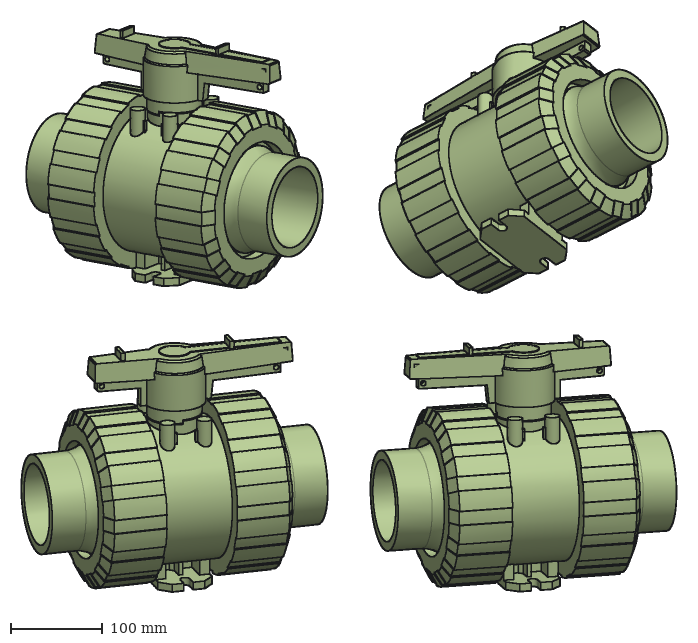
import cadquery as cq
import math


length = 316.0
pipe_radius = 55.0
pipe_bore = 45.0
flare_start = 119.8
flare_radius = 37.3
flare_end = 102.0
flange_front = 96.5
flange_back = 85.3

body_radius = 79.5
ball_bore = 39.5
neck_radius = 30.3
neck_top = 102.7
neck_bevel = 1.5
spindle_radius = 29.7
spindle_shoulder = 87.0
stop_shoulder = 90.7

post_radius = 8.2
post_x = 21.2
post_y = 40.0
post_top = 93.0
key_width = 3.5
key_reach = 10.5
key_top = 80.5
key_lean = 15.0

foot_bottom = -100.2
foot_top = -91.3
foot_x = 31.0
foot_y = 49.3
foot_chamfer = 12.3
foot_slot_radius = 5.5
foot_slot_y = foot_y - foot_chamfer
foot_root = -63.2
end_rib_inner = 19.3
end_rib_y = 29.0
web_width = 4.7
middle_rib_y = 22.0
boss_radius = 7.3

nut_radius = 98.3
nut_back = 40.5
nut_front = 108.5
nut_chamfer_start = 100.5
nut_face_radius = 83.7
nut_opening = 64.8
groove_count = 16
groove_depth = 2.0
groove_width = 15.8

hub_radius = 34.0
hub_shoulder = 145.7
hub_bevel = 1.5
dome_radius = 30.5
dome_bevel = 2.2
lever_top = 159.5
lever_bottom = 136.0
lever_end_bottom = 137.8
lever_left = -95.7
lever_right = 132.5
left_half_width = 14.2
hub_half_width = 20.5
right_half_width = 11.5
side_draft = 2.5
end_draft = 1.3
end_chamfer = 1.3
rib_thickness = 10.0
rib_top = 139.0
rib_left = -90.5
rib_right = 120.0
rib_end_bottom = 124.5
rib_root_bottom = 123.2
rib_corner = 1.5
lug_left = -40.5
lug_right = 42.7
lug_draft = 2.2
eyelet_radius = 3.0
eyelet_z = 130.5
eyelet_left = -85.0
eyelet_right = 115.0
badge_radius = 17.0
badge_strip_width = 15.8
badge_end = 120.0
badge_height = 1.0
tab_x = 62.5
tab_thickness = 4.5
tab_half_width = 11.0
tab_end_curve = 2.0
tab_top = 168.0
cheek_left = 113.8
cheek_right = 126.7
cheek_top = 154.0
cheek_half_width = 10.0


def box(x0, x1, y0, y1, z0, z1):
    return cq.Workplane("XY").box(x1 - x0, y1 - y0, z1 - z0, centered=False).translate((x0, y0, z0))


def disc(radius, z0, z1, x=0.0, y=0.0):
    return cq.Workplane("XY").workplane(offset=z0).center(x, y).circle(radius).extrude(z1 - z0)


def rod(radius, x0, x1):
    return cq.Workplane("YZ").workplane(offset=x0).circle(radius).extrude(x1 - x0)


def turn_about_x(points):
    """Revolve a closed outline of (x, radius) points about the flow axis."""
    return cq.Workplane("XY").polyline(points).close().revolve(360, (0, 0), (1, 0))


def turn_about_z(points):
    """Revolve a closed outline of (radius, z) points about the stem axis."""
    return cq.Workplane("XZ").polyline(points).close().revolve(360, (0, 0), (0, 1))


def on_both_ends(part):
    """The part and its copy at the opposite end of the valve."""
    return [part, part.mirror("YZ")]



def make_neck():
    """Stem neck, undercut above the body, with a raised undercut in the +X, -Y quarter."""
    neck = turn_about_z([
        (0, 0),
        (spindle_radius, 0),
        (spindle_radius, spindle_shoulder - neck_bevel),
        (neck_radius, spindle_shoulder),
        (neck_radius, neck_top),
        (0, neck_top),
    ])
    undercut = turn_about_z([
        (spindle_radius, spindle_shoulder - neck_bevel),
        (spindle_radius, stop_shoulder - neck_bevel),
        (neck_radius, stop_shoulder),
        (hub_radius, stop_shoulder),
        (hub_radius, spindle_shoulder - neck_bevel),
    ])
    quarter = box(0, hub_radius, -hub_radius, 0, 0, neck_top)
    return neck.cut(undercut.intersect(quarter))


def make_post(side_x, side_y):
    """Round post with two small keys: one towards X = 0, one towards the neck."""
    post = disc(post_radius, 0, post_top)
    key = box(0, key_reach, -key_width / 2, key_width / 2, 0, key_top)
    inward_key = key.rotate((0, 0, 0), (0, 0, 1), 180)
    neck_key = key.rotate((0, 0, 0), (0, 0, 1), -90 + key_lean)
    post = post.union(inward_key).union(neck_key)
    if side_x < 0:
        post = post.mirror("YZ")
    if side_y < 0:
        post = post.mirror("XZ")
    return post.translate((side_x * post_x, side_y * post_y, 0))


def make_foot():
    """Slotted mounting plate carried by ribs and a central boss."""
    plate = box(-foot_x, foot_x, -foot_y, foot_y, foot_bottom, foot_top)
    plate = plate.edges("|Z").chamfer(foot_chamfer)
    for side in (-1, 1):
        slot_end = disc(foot_slot_radius, foot_bottom, foot_top, 0, side * foot_slot_y)
        near, far = sorted((side * foot_slot_y, side * foot_y))
        slot = box(-foot_slot_radius, foot_slot_radius, near, far, foot_bottom, foot_top)
        plate = plate.cut(slot_end).cut(slot)
    end_rib = box(end_rib_inner, foot_x, -end_rib_y, end_rib_y, foot_top, foot_root)
    foot = plate
    for rib in on_both_ends(end_rib):
        foot = foot.union(rib)
    long_web = box(-foot_x, foot_x, -web_width / 2, web_width / 2, foot_top, foot_root)
    middle_rib = box(-web_width / 2, web_width / 2, -middle_rib_y, middle_rib_y, foot_top, foot_root)
    boss = disc(boss_radius, foot_top, foot_root)
    return foot.union(long_web).union(middle_rib).union(boss)


def make_body():
    body = rod(body_radius, -flange_back, flange_back)
    body = body.union(make_neck()).union(make_foot())
    for side_x in (-1, 1):
        for side_y in (-1, 1):
            body = body.union(make_post(side_x, side_y))
    return body.cut(rod(ball_bore, -flange_back, flange_back))



def make_connector():
    """Pipe end at +X that flares into the flange clamped by the nut."""
    flare_length = flare_start - flare_end
    centre_radius = pipe_radius + flare_radius
    flare_end_radius = centre_radius - math.sqrt(flare_radius**2 - flare_length**2)
    half_angle = math.asin(flare_length / flare_radius) / 2
    flare_middle = (
        flare_start - flare_radius * math.sin(half_angle),
        centre_radius - flare_radius * math.cos(half_angle),
    )
    return (
        cq.Workplane("XY")
        .moveTo(length / 2, pipe_bore)
        .lineTo(length / 2, pipe_radius)
        .lineTo(flare_start, pipe_radius)
        .threePointArc(flare_middle, (flare_end, flare_end_radius))
        .lineTo(flange_front, flare_end_radius)
        .lineTo(flange_front, body_radius)
        .lineTo(flange_back, body_radius)
        .lineTo(flange_back, pipe_bore)
        .close()
        .revolve(360, (0, 0), (1, 0))
    )



def make_nut_ring(inset):
    """Nut at +X without grooves, its outside set in by the given depth."""
    return turn_about_x([
        (nut_back, body_radius),
        (nut_back, nut_radius - inset),
        (nut_chamfer_start, nut_radius - inset),
        (nut_front, nut_face_radius - inset),
        (nut_front, nut_opening),
        (flange_front, nut_opening),
        (flange_front, body_radius),
    ])


def make_nut():
    """Nut at +X with shallow grip grooves that run out along the front chamfer."""
    crown = make_nut_ring(0)
    half_width = groove_width / 2
    slot = box(nut_back, nut_front, -half_width, half_width, body_radius, nut_radius + groove_depth)
    for index in range(groove_count):
        crown = crown.cut(slot.rotate((0, 0, 0), (1, 0, 0), index * 360 / groove_count))
    return crown.union(make_nut_ring(groove_depth))



def make_hub():
    return turn_about_z([
        (0, neck_top),
        (hub_radius, neck_top),
        (hub_radius, hub_shoulder - hub_bevel),
        (hub_radius - hub_bevel, hub_shoulder),
        (dome_radius, lever_top - dome_bevel),
        (dome_radius - dome_bevel, lever_top),
        (0, lever_top),
    ])


def lever_outline(inset_x, inset_y):
    left = lever_left + inset_x
    right = lever_right - inset_x
    return [
        (left, inset_y - left_half_width),
        (0, inset_y - hub_half_width),
        (right, inset_y - right_half_width),
        (right, right_half_width - inset_y),
        (0, hub_half_width - inset_y),
        (left, left_half_width - inset_y),
    ]


def make_lever():
    """Tapered two-armed bar, narrower at the top."""
    lever = (
        cq.Workplane("XY")
        .workplane(offset=lever_bottom)
        .polyline(lever_outline(0, 0))
        .close()
        .workplane(offset=lever_top - lever_bottom)
        .polyline(lever_outline(end_draft, side_draft))
        .close()
        .loft(ruled=True)
    )
    lever = lever.faces(">Z").edges("|Y").chamfer(end_chamfer)
    side_profile = (
        cq.Workplane("XZ")
        .polyline([
            (lever_left, lever_top),
            (lever_left, lever_end_bottom + end_chamfer),
            (lever_left + end_chamfer, lever_end_bottom),
            (0, lever_bottom),
            (lever_right - end_chamfer, lever_end_bottom),
            (lever_right, lever_end_bottom + end_chamfer),
            (lever_right, lever_top),
        ])
        .close()
        .extrude(hub_half_width, both=True)
    )
    lever = lever.intersect(side_profile)
    cheek = box(cheek_left, cheek_right, -cheek_half_width, cheek_half_width, lever_end_bottom, cheek_top)
    return lever.union(cheek)


def make_under_rib():
    """Thin rib below the lever, deeper next to the hub, with an eyelet at each end."""
    rib = (
        cq.Workplane("XZ")
        .polyline([
            (rib_left, rib_top),
            (rib_left, rib_end_bottom + rib_corner),
            (rib_left + rib_corner, rib_end_bottom),
            (lug_left, rib_root_bottom),
            (lug_left, neck_top),
            (lug_right - lug_draft, neck_top),
            (lug_right, rib_root_bottom),
            (rib_right, rib_end_bottom),
            (rib_right, rib_top),
        ])
        .close()
        .extrude(rib_thickness / 2, both=True)
    )
    eyelets = (
        cq.Workplane("XZ")
        .pushPoints([(eyelet_left, eyelet_z), (eyelet_right, eyelet_z)])
        .circle(eyelet_radius)
        .extrude(rib_thickness, both=True)
    )
    return rib.cut(eyelets)


def make_badge():
    """Raised keyhole shape on top of the lever."""
    badge_top = lever_top + badge_height
    half_width = badge_strip_width / 2
    strip = box(0, badge_end, -half_width, half_width, lever_top, badge_top)
    return disc(badge_radius, lever_top, badge_top).union(strip)


def make_tab(x):
    """Small upright tab across the lever; its two ends curve in towards the -X face."""
    back = x + tab_thickness / 2
    front = x - tab_thickness / 2
    front_half_width = tab_half_width - tab_end_curve
    end_radius = (tab_thickness**2 + tab_end_curve**2) / (2 * tab_end_curve)
    half_angle = math.asin(tab_thickness / end_radius) / 2
    arc_x = back - end_radius * math.sin(half_angle)
    arc_y = tab_half_width - end_radius * (1 - math.cos(half_angle))
    return (
        cq.Workplane("XY")
        .workplane(offset=lever_end_bottom)
        .moveTo(back, -tab_half_width)
        .lineTo(back, tab_half_width)
        .threePointArc((arc_x, arc_y), (front, front_half_width))
        .lineTo(front, -front_half_width)
        .threePointArc((arc_x, -arc_y), (back, -tab_half_width))
        .close()
        .extrude(tab_top - lever_end_bottom)
    )


def make_handle():
    handle = make_hub().union(make_lever()).union(make_under_rib()).union(make_badge())
    for side in (-1, 1):
        handle = handle.union(make_tab(side * tab_x))
    return handle



body = make_body()
connectors = on_both_ends(make_connector())
nuts = on_both_ends(make_nut())
handle = make_handle()

result = cq.Compound.makeCompound([
    body.val(),
    *[connector.val() for connector in connectors],
    *[nut.val() for nut in nuts],
    handle.val(),
])